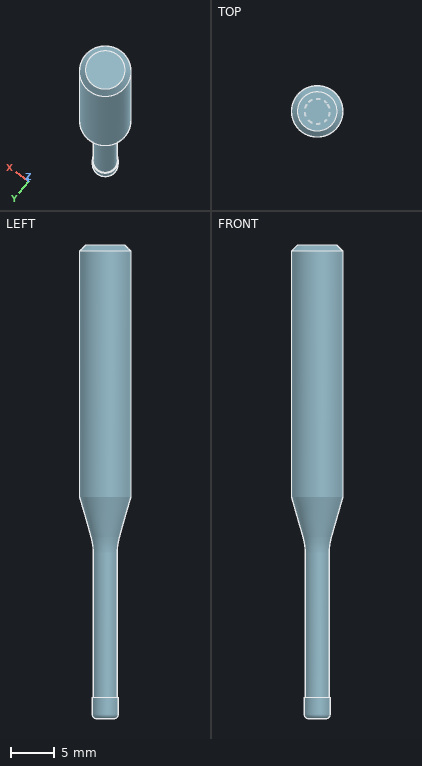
import cadquery as cq
import math

total_length = 55.0
shank_diameter = 6.0
shank_radius = shank_diameter / 2
shank_chamfer = 0.7

head_diameter = 3.0
head_radius = head_diameter / 2
head_length = 2.5
corner_radius = 0.5

neck_diameter = 2.8
neck_radius = neck_diameter / 2
neck_top = 19.25
cone_top = 25.75
blend_radius = 6.6

arc_centre_x = neck_radius + blend_radius
edge_dx = arc_centre_x - shank_radius
edge_dz = cone_top - neck_top
edge_distance = math.hypot(edge_dx, edge_dz)
cone_half_angle = math.atan2(edge_dz, edge_dx) - math.acos(blend_radius / edge_distance)


def blend_point(angle):
    """Point on the blend arc, with the angle measured up from the neck end."""
    return (
        arc_centre_x - blend_radius * math.cos(angle),
        neck_top + blend_radius * math.sin(angle),
    )


def make_holder():
    """Shank, cone and neck, turned as one body above the cutting head."""
    profile = (
        cq.Workplane("XZ")
        .moveTo(0, head_length)
        .lineTo(neck_radius, head_length)
        .lineTo(neck_radius, neck_top)
        .threePointArc(blend_point(cone_half_angle / 2), blend_point(cone_half_angle))
        .lineTo(shank_radius, cone_top)
        .lineTo(shank_radius, total_length - shank_chamfer)
        .lineTo(shank_radius - shank_chamfer, total_length)
        .lineTo(0, total_length)
        .close()
    )
    return profile.revolve(360, (0, 0), (0, 1))


def make_cutting_head():
    """Plain cylinder with a rounded lower rim."""
    head = cq.Workplane("XY").circle(head_radius).extrude(head_length)
    return head.faces("<Z").edges().fillet(corner_radius)


holder = make_holder()
cutting_head = make_cutting_head()

result = cq.Compound.makeCompound([holder.val(), cutting_head.val()])